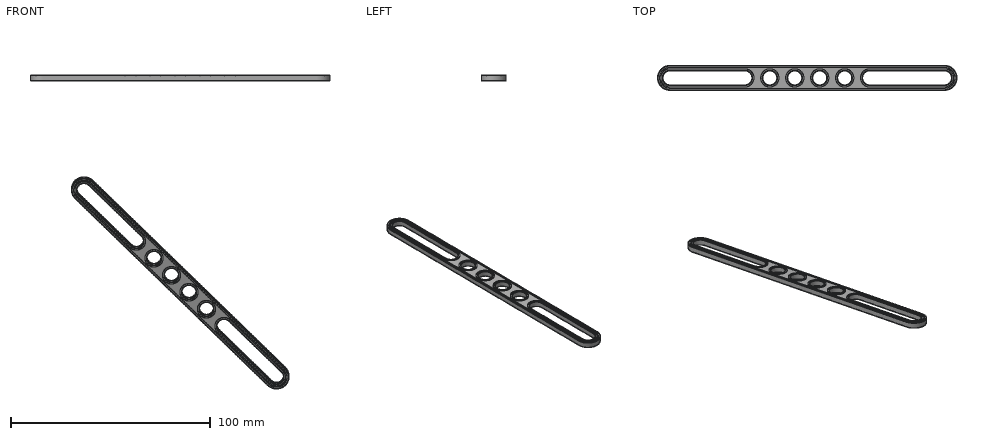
import cadquery as cq

length = 150.0
pitch_count = 12
pitch = length / pitch_count
width = pitch
thickness = 3.2
edge_chamfer = 0.3

rim_width = 1.0
recess_depth = 0.3
collar_diameter = 9.2
bore_diameter = 7.0

hole_count = 4
slot_pitches = 3
end_travel = length - width
slot_travel = slot_pitches * pitch
slot_offset = (end_travel - slot_travel) / 2

holes = [((i - (hole_count - 1) / 2) * pitch, 0) for i in range(hole_count)]
slots = [(side * slot_offset, slot_travel) for side in (-1, 1)]
openings = holes + slots


def round_ended(travel, diameter, height):
    """Disc, or round-ended bar when travel is above zero, centred on the origin."""
    sketch = cq.Workplane("XY")
    if travel > 0:
        sketch = sketch.slot2D(travel + diameter, diameter)
    else:
        sketch = sketch.circle(diameter / 2)
    return sketch.extrude(height / 2, both=True)


def cut_openings(body, diameter, height):
    """Cut a centred body at every opening, with the given diameter."""
    for x_center, travel in openings:
        body = body.cut(round_ended(travel, diameter, height).translate((x_center, 0, 0)))
    return body


def pierced_bar():
    """Flat bar with its holes and slots, chamfered along all edges of both faces."""
    bar = cut_openings(round_ended(end_travel, width, thickness), bore_diameter, thickness)
    return bar.faces("<Z or >Z").edges().chamfer(edge_chamfer)


def field_recess():
    """Field inside the rim, less the collars, placed as the recess of the top face."""
    field = round_ended(end_travel, width - 2 * rim_width, recess_depth)
    field = cut_openings(field, collar_diameter, recess_depth)
    return field.translate((0, 0, (thickness - recess_depth) / 2))


top_recess = field_recess()
bottom_recess = top_recess.mirror("XY")
result = pierced_bar().cut(top_recess).cut(bottom_recess)